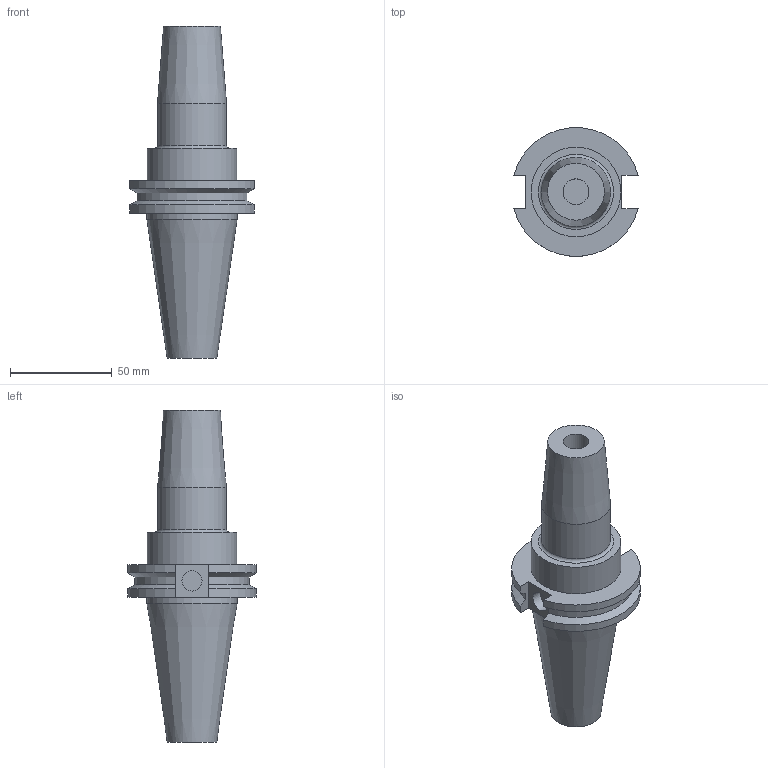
import cadquery as cq
import math


GAUGE_DIAMETER = 44.45
SHANK_LENGTH = 68.25
TAPER_RATIO = 7 / 24

LAND_HEIGHT = 3.175
FLANGE_THICKNESS = 15.875
FLANGE_DIAMETER = 63.5
GROOVE_FLOOR_DIAMETER = 56.5
GROOVE_FLOOR_WIDTH = 3.9
GROOVE_CENTRE_Z = 11.1
GROOVE_WALL_ANGLE = 30.0

SLOT_WIDTH = 16.3
SHALLOW_SLOT_FLOOR_X = -25.0
DEEP_SLOT_FLOOR_X = 22.6

CHIP_HOLE_DIAMETER = 10.0
CHIP_HOLE_DEPTH = 5.0

COLLAR_DIAMETER = 44.2
COLLAR_TOP_Z = 35.0
NOSE_DIAMETER = 34.0
NOSE_TIP_DIAMETER = 28.0
NOSE_TAPER_LENGTH = 38.0
NOSE_FILLET_RADIUS = 1.5
GAUGE_LENGTH = 95.3

BORE_DIAMETER = 12.7
BORE_DEPTH = 47.0

SHANK_END_DIAMETER = GAUGE_DIAMETER - SHANK_LENGTH * TAPER_RATIO
FLANGE_TOP_Z = LAND_HEIGHT + FLANGE_THICKNESS
FLANGE_MIDDLE_Z = LAND_HEIGHT + FLANGE_THICKNESS / 2
FLANGE_RADIUS = FLANGE_DIAMETER / 2
GROOVE_FLOOR_RADIUS = GROOVE_FLOOR_DIAMETER / 2


def make_shank():
    """Solid 7/24 taper topped by the short cylindrical land under the flange."""
    gauge_radius = GAUGE_DIAMETER / 2
    return (
        cq.Workplane("XZ")
        .moveTo(0, -SHANK_LENGTH)
        .lineTo(SHANK_END_DIAMETER / 2, -SHANK_LENGTH)
        .lineTo(gauge_radius, 0)
        .lineTo(gauge_radius, LAND_HEIGHT)
        .lineTo(0, LAND_HEIGHT)
        .close()
        .revolve(360, (0, 0), (0, 1))
    )


def make_flange():
    """Round flange with a flat-bottomed V-groove around its rim."""
    wall_rise = (FLANGE_RADIUS - GROOVE_FLOOR_RADIUS) * math.tan(math.radians(GROOVE_WALL_ANGLE))
    floor_half_width = GROOVE_FLOOR_WIDTH / 2
    mouth_half_width = floor_half_width + wall_rise
    return (
        cq.Workplane("XZ")
        .moveTo(0, LAND_HEIGHT)
        .lineTo(FLANGE_RADIUS, LAND_HEIGHT)
        .lineTo(FLANGE_RADIUS, GROOVE_CENTRE_Z - mouth_half_width)
        .lineTo(GROOVE_FLOOR_RADIUS, GROOVE_CENTRE_Z - floor_half_width)
        .lineTo(GROOVE_FLOOR_RADIUS, GROOVE_CENTRE_Z + floor_half_width)
        .lineTo(FLANGE_RADIUS, GROOVE_CENTRE_Z + mouth_half_width)
        .lineTo(FLANGE_RADIUS, FLANGE_TOP_Z)
        .lineTo(0, FLANGE_TOP_Z)
        .close()
        .revolve(360, (0, 0), (0, 1))
    )


def make_collar_and_nose():
    """Cylindrical collar, concave root fillet, straight nose and tapered tip."""
    collar_radius = COLLAR_DIAMETER / 2
    nose_radius = NOSE_DIAMETER / 2
    fillet_outer_radius = nose_radius + NOSE_FILLET_RADIUS
    fillet_top_z = COLLAR_TOP_Z + NOSE_FILLET_RADIUS
    fillet_sag = NOSE_FILLET_RADIUS * (1 - math.sqrt(0.5))
    fillet_middle = (nose_radius + fillet_sag, COLLAR_TOP_Z + fillet_sag)
    return (
        cq.Workplane("XZ")
        .moveTo(0, FLANGE_TOP_Z)
        .lineTo(collar_radius, FLANGE_TOP_Z)
        .lineTo(collar_radius, COLLAR_TOP_Z)
        .lineTo(fillet_outer_radius, COLLAR_TOP_Z)
        .threePointArc(fillet_middle, (nose_radius, fillet_top_z))
        .lineTo(nose_radius, GAUGE_LENGTH - NOSE_TAPER_LENGTH)
        .lineTo(NOSE_TIP_DIAMETER / 2, GAUGE_LENGTH)
        .lineTo(0, GAUGE_LENGTH)
        .close()
        .revolve(360, (0, 0), (0, 1))
    )


def make_drive_slot(floor_x):
    """Box that removes the flange outward from a flat floor at floor_x."""
    outer_x = math.copysign(FLANGE_DIAMETER, floor_x)
    return (
        cq.Workplane("XY")
        .workplane(offset=LAND_HEIGHT)
        .center((floor_x + outer_x) / 2, 0)
        .rect(abs(outer_x - floor_x), SLOT_WIDTH)
        .extrude(FLANGE_THICKNESS)
    )


def make_chip_hole():
    """Blind radial hole entering from the floor of the shallow slot."""
    return (
        cq.Workplane("YZ", origin=(SHALLOW_SLOT_FLOOR_X, 0, FLANGE_MIDDLE_Z))
        .circle(CHIP_HOLE_DIAMETER / 2)
        .extrude(CHIP_HOLE_DEPTH)
    )


def make_tool_bore():
    """Blind axial bore entering from the nose tip."""
    return (
        cq.Workplane("XY")
        .workplane(offset=GAUGE_LENGTH)
        .circle(BORE_DIAMETER / 2)
        .extrude(-BORE_DEPTH)
    )


holder = make_shank().union(make_flange()).union(make_collar_and_nose())
for slot_floor_x in (SHALLOW_SLOT_FLOOR_X, DEEP_SLOT_FLOOR_X):
    holder = holder.cut(make_drive_slot(slot_floor_x))

result = holder.cut(make_chip_hole()).cut(make_tool_bore())